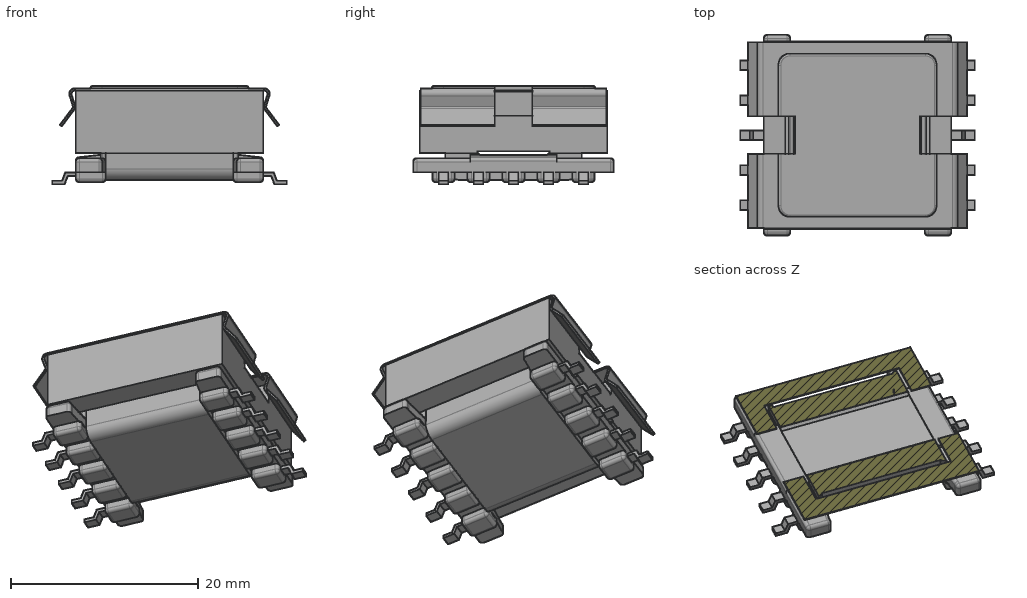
import cadquery as cq
import math


total_length = 25.08
total_width = 21.47
total_height = 10.53

core_size = 20.06
core_bottom = 3.35
core_top = 10.03
window_length = 15.45
window_width = 15.05
leg_bottom = 3.54
leg_top = 7.07
end_wall_top = 7.32
leg_width = 7.72
top_recess_floor_width = 6.82
top_recess_mouth_width = 7.42

clip_thickness = 0.25
clip_width = 19.86
clip_corner_x = 10.75
clip_kink_x = 10.15
clip_kink_z = 8.23
clip_tip_x = 11.6
clip_tip_z = 6.3
clip_bend_radius = 0.35
kink_radius = 0.2
notch_width = 4.01
notch_end_x = 6.67
bump_length = 16.9
bump_width = 17.45
bump_corner_radius = 1.23
bump_edge_radius = 0.23

flange_inner_x = 6.8
flange_outer_x = 7.35
flange_width = 14.6
flange_edge_radius = 0.38
bobbin_top = 9.93
winding_bottom = 0.48
winding_width = 14.05
winding_radius = 1.23
tube_floor = 3.14
tube_chamfer = 0.3

rail_bottom = 1.3
rail_top = 2.8
rail_end_inner_x = 7.17
rail_radius = 0.4
step_width = 9.28
step_outer_z = 2.88
step_inner_z = 3.19
foot_bottom = 0.23
foot_width = 2.4

pin_count = 5
pin_pitch = 3.74
pin_width = 1.05
pin_thickness = 0.4
pin_top = 1.3
pin_upper_bend_x = 11.14
pin_lower_bend_x = 11.49
pin_bend_shift = 0.28

half_core = core_size / 2


def centred_box(length, width, bottom, top):
    """Box centred on the Z axis between two heights."""
    box = cq.Workplane("XY").box(length, width, top - bottom, centered=(True, True, False))
    return box.translate((0, 0, bottom))


def extrude_along_y(points, width):
    """Closed XZ outline extruded symmetrically about Y = 0."""
    return cq.Workplane("XZ").polyline(points).close().extrude(width / 2, both=True)


def with_opposite_side(body):
    """The body together with its mirror image across X = 0."""
    return body.union(body.mirror("YZ"))


def edges_along_y_at(x, z):
    """Selector for the edges along Y passing close to a point in XZ, on the +X side."""
    reach = 0.03
    return cq.selectors.BoxSelector((x - reach, -0.25, z - reach), (x + reach, 0.25, z + reach))


def make_core():
    core = centred_box(core_size, core_size, core_bottom, core_top)
    core = core.cut(centred_box(window_length, window_width, core_bottom, core_top))
    core = core.cut(centred_box(core_size, leg_width, core_bottom, leg_bottom))
    recess = (
        cq.Workplane("YZ")
        .polyline([
            (-top_recess_floor_width / 2, end_wall_top),
            (top_recess_floor_width / 2, end_wall_top),
            (top_recess_mouth_width / 2, core_top),
            (-top_recess_mouth_width / 2, core_top),
        ])
        .close()
        .extrude(half_core, both=True)
    )
    centre_leg = centred_box(window_length, leg_width, leg_bottom, leg_top)
    return core.cut(recess).union(centre_leg)


def make_bobbin():
    flange_thickness = flange_outer_x - flange_inner_x
    flange = (
        centred_box(flange_thickness, flange_width, rail_bottom, bobbin_top)
        .faces("<X").edges("not <Z").fillet(flange_edge_radius)
        .translate((flange_inner_x + flange_thickness / 2, 0, 0))
    )
    winding = (
        centred_box(2 * flange_inner_x, winding_width, winding_bottom, bobbin_top)
        .edges("|X").fillet(winding_radius)
    )
    bobbin = winding.union(with_opposite_side(flange))
    tube = (
        centred_box(2 * flange_outer_x, leg_width, tube_floor, leg_top)
        .faces("<Z").edges("|X").chamfer(tube_chamfer)
    )
    return bobbin.cut(tube)


def make_rail():
    rail_outline = [(half_core, total_width / 2), (rail_end_inner_x, total_width / 2),
                    (rail_end_inner_x, half_core), (flange_inner_x, flange_width / 2)]
    rail_outline += [(x, -y) for x, y in reversed(rail_outline)]
    rail = (
        cq.Workplane("XY").workplane(offset=rail_bottom)
        .polyline(rail_outline).close().extrude(rail_top - rail_bottom)
    )
    rail = rail.faces(">Y or <Y").edges("|Z").fillet(rail_radius)
    rail = rail.faces(">Z").edges().fillet(rail_radius)

    step = extrude_along_y([
        (half_core, rail_bottom),
        (half_core, step_outer_z),
        (flange_outer_x, step_inner_z),
        (flange_outer_x, rail_bottom),
    ], step_width)
    step = step.edges(edges_along_y_at(half_core, step_outer_z)).fillet(rail_radius)
    return rail.union(step)


def make_foot():
    length = half_core - flange_inner_x
    foot = centred_box(length, foot_width, foot_bottom, rail_bottom)
    foot = foot.edges("|Z").fillet(rail_radius).faces("<Z").edges().fillet(rail_radius)
    return foot.translate((flange_inner_x + length / 2, 0, 0))


def make_pin():
    """Gull-wing pin, starting inside the foot."""
    upper_bottom = pin_top - pin_thickness
    end_x = total_length / 2
    return extrude_along_y([
        (flange_outer_x, pin_top),
        (pin_upper_bend_x, pin_top),
        (pin_lower_bend_x, pin_thickness),
        (end_x, pin_thickness),
        (end_x, 0),
        (pin_lower_bend_x - pin_bend_shift, 0),
        (pin_upper_bend_x - pin_bend_shift, upper_bottom),
        (flange_outer_x, upper_bottom),
    ], pin_width)


def make_pin_row():
    row = make_rail()
    foot_and_pin = make_foot().union(make_pin())
    for index in range(pin_count):
        y = (index - (pin_count - 1) / 2) * pin_pitch
        row = row.union(foot_and_pin.translate((0, y, 0)))
    return row


def mitred_side(path, distance):
    """Path shifted sideways (left when positive) by a distance, with sharp mitred corners."""
    headings = [math.atan2(b[1] - a[1], b[0] - a[0]) for a, b in zip(path, path[1:])]
    before = headings[:1] + headings
    after = headings + headings[-1:]
    shifted = []
    for (x, z), h0, h1 in zip(path, before, after):
        middle = (h0 + h1) / 2
        reach = distance / math.cos((h1 - h0) / 2)
        shifted.append((x - reach * math.sin(middle), z + reach * math.cos(middle)))
    return shifted


def make_clip():
    half = clip_thickness / 2
    path = [
        (0, core_top + half),
        (clip_corner_x, core_top + half),
        (clip_kink_x, clip_kink_z),
        (clip_tip_x, clip_tip_z),
    ]
    outside = mitred_side(path, half)
    inside = mitred_side(path, -half)
    arm = extrude_along_y(outside + inside[::-1], clip_width)
    arm = arm.edges(edges_along_y_at(*outside[1])).fillet(clip_bend_radius + clip_thickness)
    arm = arm.edges(edges_along_y_at(*inside[1])).fillet(clip_bend_radius)
    arm = arm.edges(edges_along_y_at(*outside[2])).fillet(kink_radius)
    arm = arm.edges(edges_along_y_at(*inside[2])).fillet(kink_radius + clip_thickness)

    bump = (
        centred_box(bump_length, bump_width, core_top, total_height)
        .edges("|Z").fillet(bump_corner_radius)
        .faces(">Z").edges().fillet(bump_edge_radius)
    )
    clip = with_opposite_side(arm).union(bump)

    notch_length = total_length / 2 - notch_end_x
    notch = (
        centred_box(notch_length, notch_width, clip_tip_z - clip_thickness, total_height)
        .translate((notch_end_x + notch_length / 2, 0, 0))
    )
    return clip.cut(with_opposite_side(notch))


result = (
    make_core()
    .union(make_bobbin())
    .union(with_opposite_side(make_pin_row()))
    .union(make_clip())
)